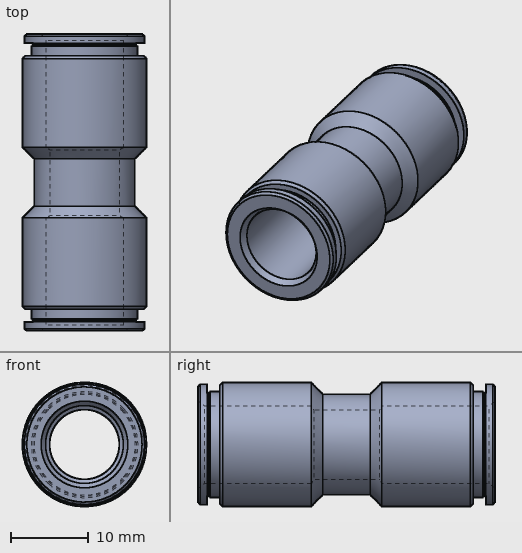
import cadquery as cq

length = 38.2
half_length = length / 2

body_radius = 8.005
flange_radius = 7.75
collar_radius = 6.85
groove_radius = 6.65
waist_radius = 6.5

flange_depth = 1.2
groove_depth = 1.4
body_start = 2.8
body_end = 14.55

flange_chamfer_radial = 0.35
flange_chamfer_axial = 0.25
body_chamfer = 0.4
collar_chamfer = collar_radius - groove_radius
waist_taper = body_radius - waist_radius

mouth_radius = 5.58
socket_radius = 5.0
passage_radius = 4.47
mouth_depth = 0.8
socket_depth = 14.55
stop_taper_depth = 0.3


outer_half = [
    (flange_radius - flange_chamfer_radial, 0),
    (flange_radius, flange_chamfer_axial),
    (flange_radius, flange_depth),
    (groove_radius, flange_depth),
    (groove_radius, groove_depth),
    (collar_radius, groove_depth + collar_chamfer),
    (collar_radius, body_start),
    (body_radius - body_chamfer, body_start),
    (body_radius, body_start + body_chamfer),
    (body_radius, body_end),
    (waist_radius, body_end + waist_taper),
]

bore_half = [
    (mouth_radius, 0),
    (socket_radius, mouth_depth),
    (socket_radius, socket_depth),
    (passage_radius, socket_depth + stop_taper_depth),
]


def both_ends(half):
    """Place a half outline at the -Y end and repeat it mirrored at the +Y end."""
    front = [(radius, depth - half_length) for radius, depth in half]
    back = [(radius, -y) for radius, y in reversed(front)]
    return front + back


wall_section = both_ends(outer_half) + both_ends(bore_half)[::-1]
result = cq.Workplane("XY").polyline(wall_section).close().revolve(360, (0, 0, 0), (0, 1, 0))